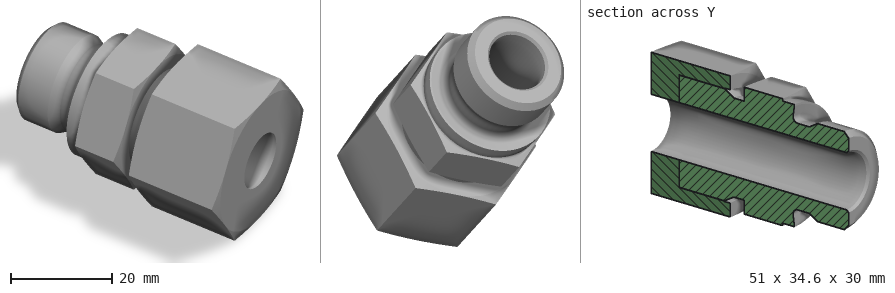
import cadquery as cq
import math


TOTAL_LENGTH = 51.0
STUD_CHAMFER = 1.15
STUD_THREAD_END = 8.0
NECK_END = 13.15
COLLAR_FRONT = 13.95
HEX_FRONT = 17.0
HEX_BACK = 27.0
RELIEF_END = 29.65
NUT_FRONT = 30.5

BORE_RADIUS = 6.0
BORE_CHAMFER = 0.5
STUD_RADIUS = 10.45
NECK_RADIUS = 9.25
COLLAR_RADIUS = 13.0
SEALING_EDGE_RADIUS = 12.6
RELIEF_RADIUS = 10.55
NUT_THREAD_RADIUS = 12.0
RUNOUT_ANGLE = 30.0
RUNOUT_SLOPE = math.tan(math.radians(RUNOUT_ANGLE))

DISH_ANGLE = 8.0
GROOVE_RIM_RADIUS = 10.5

HEX_SIDES = 6
BODY_HEX_FLATS = 27.0
NUT_HEX_FLATS = 30.0
HEX_CHAMFER_ANGLE = 15.0

NUT_SOCKET_DEPTH = 13.25
SOCKET_END = NUT_FRONT + NUT_SOCKET_DEPTH


def chamfered_hexagon(start, end, across_flats):
    """Hexagonal prism along X with two flats facing +Z and -Z and turned chamfers at both ends."""
    flat_radius = across_flats / 2
    corner_radius = flat_radius / math.cos(math.pi / HEX_SIDES)
    chamfer_length = (corner_radius - flat_radius) * math.tan(math.radians(HEX_CHAMFER_ANGLE))
    prism = (
        cq.Workplane("YZ", origin=(start, 0, 0))
        .polygon(HEX_SIDES, 2 * corner_radius)
        .extrude(end - start)
    )
    envelope = (
        cq.Workplane("XY")
        .moveTo(start, 0)
        .lineTo(start, flat_radius)
        .lineTo(start + chamfer_length, corner_radius)
        .lineTo(end - chamfer_length, corner_radius)
        .lineTo(end, flat_radius)
        .lineTo(end, 0)
        .close()
        .revolve(360, (0, 0, 0), (1, 0, 0))
    )
    return prism.intersect(envelope)


def bore(radius, start, end):
    """Round cutter along the axis."""
    return cq.Workplane("YZ", origin=(start, 0, 0)).circle(radius).extrude(end - start)


def turned_front():
    """Threaded stud, neck, rounded groove, dished sealing face and collar."""
    neck_start = STUD_THREAD_END + (STUD_RADIUS - NECK_RADIUS) / RUNOUT_SLOPE
    dish_depth = (SEALING_EDGE_RADIUS - GROOVE_RIM_RADIUS) * math.tan(math.radians(DISH_ANGLE))
    groove_rim = (COLLAR_FRONT + dish_depth, GROOVE_RIM_RADIUS)
    return (
        cq.Workplane("XY")
        .moveTo(0, 0)
        .lineTo(0, STUD_RADIUS - STUD_CHAMFER)
        .lineTo(STUD_CHAMFER, STUD_RADIUS)
        .lineTo(STUD_THREAD_END, STUD_RADIUS)
        .lineTo(neck_start, NECK_RADIUS)
        .lineTo(NECK_END, NECK_RADIUS)
        .tangentArcPoint(groove_rim, relative=False)
        .lineTo(COLLAR_FRONT, SEALING_EDGE_RADIUS)
        .lineTo(COLLAR_FRONT, COLLAR_RADIUS)
        .lineTo(HEX_FRONT, COLLAR_RADIUS)
        .lineTo(HEX_FRONT, 0)
        .close()
        .revolve(360, (0, 0, 0), (1, 0, 0))
    )


def turned_back():
    """Thread relief, run-out cone and the thread that fills the nut's socket."""
    cone_end = RELIEF_END + (NUT_THREAD_RADIUS - RELIEF_RADIUS) / RUNOUT_SLOPE
    return (
        cq.Workplane("XY")
        .moveTo(HEX_BACK, 0)
        .lineTo(HEX_BACK, RELIEF_RADIUS)
        .lineTo(RELIEF_END, RELIEF_RADIUS)
        .lineTo(cone_end, NUT_THREAD_RADIUS)
        .lineTo(SOCKET_END, NUT_THREAD_RADIUS)
        .lineTo(SOCKET_END, 0)
        .close()
        .revolve(360, (0, 0, 0), (1, 0, 0))
    )


def make_fitting_body():
    """Turned front and back around a hexagon, with a bore right through."""
    solid = (
        turned_front()
        .union(chamfered_hexagon(HEX_FRONT, HEX_BACK, BODY_HEX_FLATS))
        .union(turned_back())
        .cut(bore(BORE_RADIUS, 0, SOCKET_END))
    )
    mouth = cq.Workplane(
        cq.Solid.makeCone(
            BORE_RADIUS + BORE_CHAMFER,
            BORE_RADIUS,
            BORE_CHAMFER,
            cq.Vector(0, 0, 0),
            cq.Vector(1, 0, 0),
        )
    )
    return solid.cut(mouth)


def make_union_nut():
    """Hexagonal nut with a socket for the body's rear thread and a bore through its end wall."""
    return (
        chamfered_hexagon(NUT_FRONT, TOTAL_LENGTH, NUT_HEX_FLATS)
        .cut(bore(NUT_THREAD_RADIUS, NUT_FRONT, SOCKET_END))
        .cut(bore(BORE_RADIUS, SOCKET_END, TOTAL_LENGTH))
    )


fitting_body = make_fitting_body()
union_nut = make_union_nut()

result = cq.Compound.makeCompound([fitting_body.val(), union_nut.val()])